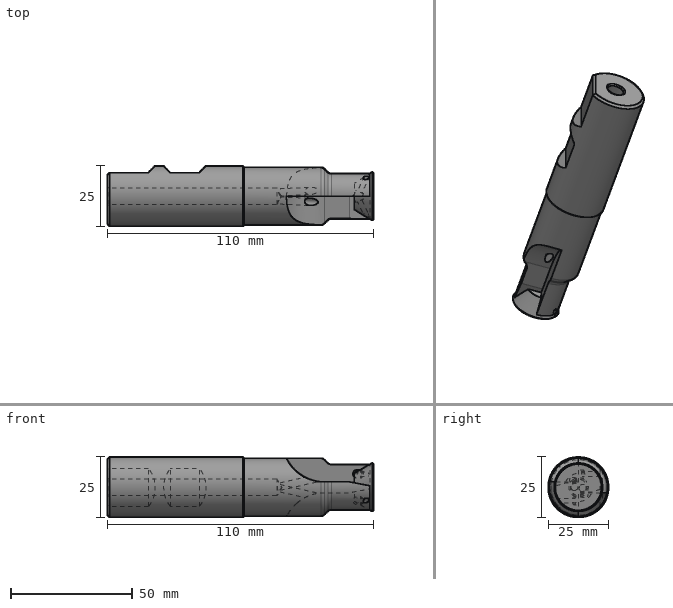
import cadquery as cq
import math

total_length = 110.0

shank_radius = 12.5
shank_length = 56.0
shank_end_chamfer = 1.0

body_radius = 12.0
shoulder_x = 89.05
shoulder_blend = 2.0
neck_radius = 9.45

head_angle = math.radians(30)
head_front_x = 102.1
head_meets_neck_x = 108.4
rim_x = 109.4
rim_chamfer_depth = 0.5

flat_y = 9.75
end_flat_length = 17.0
clamp_flat_center = 32.0
clamp_flat_length = 12.0

gash_start_x = 74.0
gash_floor_z = 2.2
gash_curve_end_x = 89.6
floor_slope_start_x = 100.0
floor_slope = 0.19
gash_span = 30.0

bore_diameter = 6.8
bore_depth = 70.0
bore_mouth_diameter = 8.0
drill_tip_angle = math.radians(59)
coolant_diameter = 3.0
coolant_inner = cq.Vector(68.0, -1.5, -0.4)
coolant_outlet = cq.Vector(83.9, -2.3, 3.2)

cross_hole_start = cq.Vector(103.3, 0, 5.5)
cross_hole_exit = cq.Vector(106.9, 7.7, 5.5)
cross_hole_diameter = 2.0
cross_hole_mouth_diameter = 3.4
cross_hole_mouth_depth = 2.0

hole_overrun = 5.0


def revolve_about_x(profile):
    return profile.close().revolve(360, (0, 0, 0), (1, 0, 0))


def head_radius(x):
    return neck_radius + (x - head_meets_neck_x) * math.tan(head_angle)


def rod(start, end, diameter):
    axis = end - start
    return cq.Workplane(cq.Solid.makeCylinder(diameter / 2, axis.Length, start, axis))


def half_turned(tool):
    """Copy of a tool half a turn about the part's axis."""
    return tool.rotate((0, 0, 0), (1, 0, 0), 180)


def turned_body():
    step = shank_radius - body_radius
    shoulder_end_x = shoulder_x + body_radius - neck_radius
    tangent = shoulder_blend * math.tan(math.pi / 8)
    slant = tangent * math.sin(math.pi / 4)
    profile = (
        cq.Workplane("XY")
        .lineTo(0, shank_radius)
        .lineTo(shank_length, shank_radius)
        .lineTo(shank_length + step, body_radius)
        .lineTo(shoulder_x - tangent, body_radius)
        .tangentArcPoint((shoulder_x + slant, body_radius - slant), relative=False)
        .lineTo(shoulder_end_x - slant, neck_radius + slant)
        .tangentArcPoint((shoulder_end_x + tangent, neck_radius), relative=False)
        .lineTo(rim_x, neck_radius)
        .lineTo(rim_x, 0)
    )
    return revolve_about_x(profile)


def clamping_flats():
    flank = shank_radius - flat_y
    clamp_start = clamp_flat_center - clamp_flat_length / 2
    clamp_end = clamp_flat_center + clamp_flat_length / 2
    end_flat = [
        (0, flat_y),
        (end_flat_length, flat_y),
        (end_flat_length + flank, shank_radius),
        (0, shank_radius),
    ]
    clamp_flat = [
        (clamp_start, flat_y),
        (clamp_end, flat_y),
        (clamp_end + flank, shank_radius),
        (clamp_start - flank, shank_radius),
    ]
    tool = cq.Workplane("XY")
    for outline in (end_flat, clamp_flat):
        tool = tool.polyline(outline).close().extrude(shank_radius, both=True)
    return tool


def head_cone():
    """Dovetail head, which stands complete across both gashes."""
    profile = (
        cq.Workplane("XY")
        .moveTo(head_front_x, 0)
        .lineTo(head_front_x, head_radius(head_front_x))
        .lineTo(rim_x, head_radius(rim_x))
        .lineTo(total_length, head_radius(rim_x) - rim_chamfer_depth)
        .lineTo(total_length, 0)
    )
    return revolve_about_x(profile)


def gash():
    """Cutter for the gash on the -Y side, above its floor."""
    run = gash_curve_end_x - gash_start_x
    rise = body_radius - gash_floor_z
    radius = (run**2 + rise**2) / (2 * rise)
    center_z = gash_floor_z + radius
    mid_angle = math.atan2(run, center_z - body_radius) / 2
    mid_point = (
        gash_curve_end_x - radius * math.sin(mid_angle),
        center_z - radius * math.cos(mid_angle),
    )
    slope_end_z = gash_floor_z - floor_slope * (total_length - floor_slope_start_x)
    return (
        cq.Workplane("XZ")
        .moveTo(gash_start_x, body_radius)
        .threePointArc(mid_point, (gash_curve_end_x, gash_floor_z))
        .lineTo(floor_slope_start_x, gash_floor_z)
        .lineTo(total_length, slope_end_z)
        .lineTo(total_length, body_radius)
        .close()
        .extrude(gash_span)
    )


def supply_bore():
    bore_radius = bore_diameter / 2
    mouth_radius = bore_mouth_diameter / 2
    profile = (
        cq.Workplane("XY")
        .lineTo(0, mouth_radius)
        .lineTo(mouth_radius - bore_radius, bore_radius)
        .lineTo(bore_depth, bore_radius)
        .lineTo(bore_depth + bore_radius / math.tan(drill_tip_angle), 0)
    )
    return revolve_about_x(profile)


def coolant_hole():
    direction = (coolant_outlet - coolant_inner).normalized()
    return rod(coolant_inner, coolant_outlet + direction * hole_overrun, coolant_diameter)


def cross_hole():
    """Stepped hole that opens in the gash wall (Y = 0) and leaves through the neck."""
    direction = (cross_hole_exit - cross_hole_start).normalized()
    outside_wall = cross_hole_start - direction * hole_overrun
    outside_neck = cross_hole_exit + direction * hole_overrun
    mouth_end = cross_hole_start + direction * cross_hole_mouth_depth
    through = rod(outside_wall, outside_neck, cross_hole_diameter)
    mouth = rod(outside_wall, mouth_end, cross_hole_mouth_diameter)
    behind_wall = cq.Workplane("XZ").rect(2 * total_length, total_length).extrude(-total_length)
    return through.union(mouth).intersect(behind_wall)


result = turned_body().cut(clamping_flats())
result = result.faces("<X").edges().chamfer(shank_end_chamfer)
result = result.cut(supply_bore())
result = result.cut(gash()).cut(half_turned(gash()))
result = result.union(head_cone())
for hole in (coolant_hole(), cross_hole()):
    result = result.cut(hole).cut(half_turned(hole))